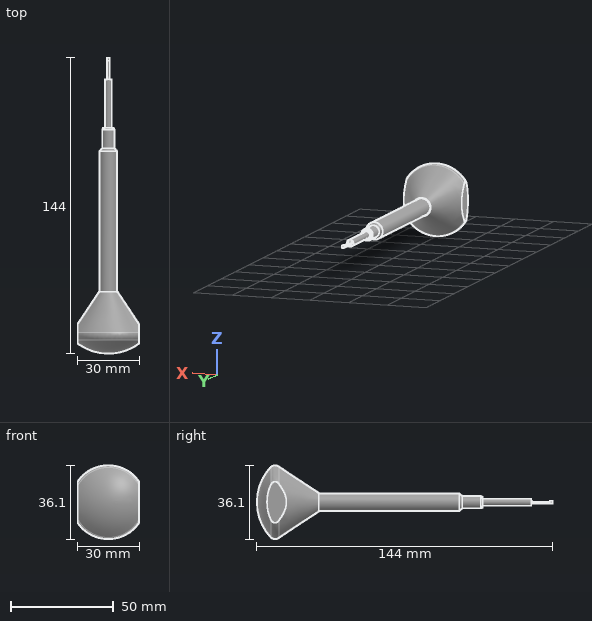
import cadquery as cq
import math


TOTAL_LENGTH = 144.0
CONE_END = 30.1
HANDLE_END = 98.5
COLLAR_START = 100.0
COLLAR_END = 109.9
SHANK_END = 133.5

CONE_SMALL_RADIUS = 4.6
HANDLE_RADIUS = 4.3
COLLAR_RADIUS = 3.0
COLLAR_CHAMFER = 0.9
SHANK_RADIUS = 1.7
TIP_RADIUS = 0.7

DOME_RADIUS = 25.0
RIM_RADIUS = 18.9
RIM_FILLET = 3.0
GRIP_WIDTH = 30.0

TIP_FLAT_HEIGHT = 0.1
TIP_HEAD_LENGTH = 1.6
TIP_ROOT_RADIUS = 1.2


def grip():
    """Spherical dome on a cone, with a rounded rim and two side flats."""
    rim_y = DOME_RADIUS - math.sqrt(DOME_RADIUS**2 - RIM_RADIUS**2)
    half_angle = math.asin(RIM_RADIUS / DOME_RADIUS) / 2
    arc_middle = (DOME_RADIUS * math.sin(half_angle), DOME_RADIUS * (1 - math.cos(half_angle)))
    body = (
        cq.Workplane("XY")
        .moveTo(0, 0)
        .threePointArc(arc_middle, (RIM_RADIUS, rim_y))
        .lineTo(CONE_SMALL_RADIUS, CONE_END)
        .lineTo(0, CONE_END)
        .close()
        .revolve(360, (0, 0, 0), (0, 1, 0))
    )
    margin = 0.1
    reach = RIM_RADIUS + margin
    rim = cq.selectors.BoxSelector(
        (-reach, rim_y - margin, -reach),
        (reach, rim_y + margin, reach),
    )
    body = body.edges(rim).fillet(RIM_FILLET)
    between_flats = cq.Workplane("XY").box(GRIP_WIDTH, 2 * TOTAL_LENGTH, 2 * TOTAL_LENGTH)
    return body.intersect(between_flats)


def stem():
    """Handle, tapered shoulder, chamfered collar, shank and round tip rod."""
    points = [
        (0, CONE_END),
        (HANDLE_RADIUS, CONE_END),
        (HANDLE_RADIUS, HANDLE_END),
        (COLLAR_RADIUS, COLLAR_START),
        (COLLAR_RADIUS, COLLAR_END - COLLAR_CHAMFER),
        (COLLAR_RADIUS - COLLAR_CHAMFER / 2, COLLAR_END),
        (SHANK_RADIUS, COLLAR_END),
        (SHANK_RADIUS, SHANK_END),
        (TIP_RADIUS, SHANK_END),
        (TIP_RADIUS, TOTAL_LENGTH),
        (0, TOTAL_LENGTH),
    ]
    return cq.Workplane("XY").polyline(points).close().revolve(360, (0, 0, 0), (0, 1, 0))


def tip_flat():
    """Material removed above the tip's flat, between the shank and the tip's head."""
    length = TOTAL_LENGTH - TIP_HEAD_LENGTH - SHANK_END
    return (
        cq.Workplane("XY", origin=(0, SHANK_END, TIP_FLAT_HEIGHT))
        .box(2 * TIP_RADIUS, length, TIP_RADIUS, centered=(True, False, False))
    )


def tip_root():
    """Concave web rising from the tip's flat to the shank's end face, as wide as the flat."""
    half_width = math.sqrt(TIP_RADIUS**2 - TIP_FLAT_HEIGHT**2)
    return (
        cq.Workplane("YZ")
        .moveTo(SHANK_END, TIP_FLAT_HEIGHT)
        .lineTo(SHANK_END + TIP_ROOT_RADIUS, TIP_FLAT_HEIGHT)
        .radiusArc((SHANK_END, TIP_FLAT_HEIGHT + TIP_ROOT_RADIUS), TIP_ROOT_RADIUS)
        .close()
        .extrude(half_width, both=True)
    )


result = grip().union(stem()).cut(tip_flat()).union(tip_root())